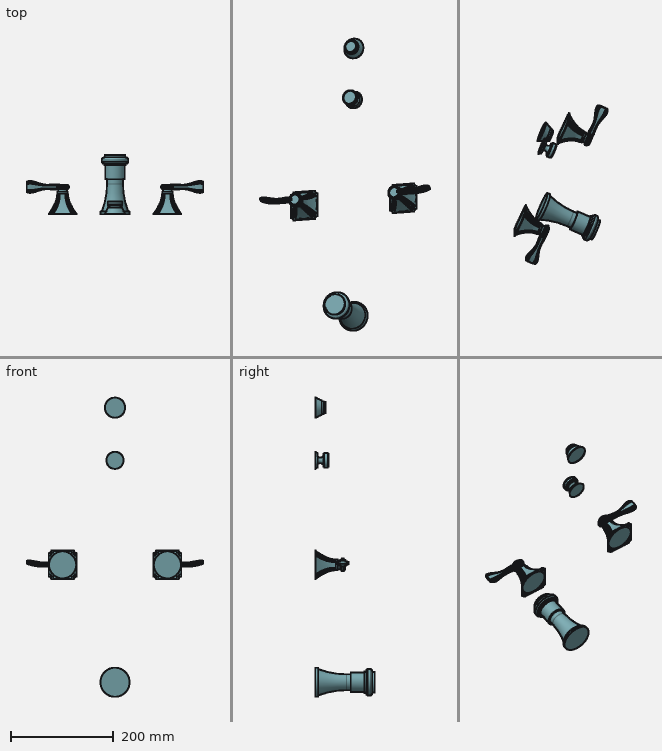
import cadquery as cq
import math


handle_offset_x = 102.0
handle_z = 228.0
knob_z = 431.0
stopper_z = 533.5

spray_height = 116.0
foot_radius = 28.5
foot_height = 6.5
foot_round = 2.5
flare_foot_radius = 25.5
stem_radius = 15.5
flare_height = 60.0
stem_height = 68.5
barrel_radius = 19.0
barrel_height = 95.5
collar_radius = 21.0
collar_height = 99.0
bead_edge_radius = 24.0
bead_radius = 26.0
bead_crown_round = 6.0
bead_band_start = 102.5
bead_band_end = 106.5
bead_height = 111.0
cap_radius = 20.5

stopper_base_radius = 20.0
stopper_rim_height = 1.0
stopper_flare_top_radius = 14.0
stopper_flare_height = 13.0
stopper_collar_radius = 13.0
stopper_collar_height = 17.0
stopper_cap_radius = 11.0
stopper_height = 20.5

knob_base_radius = 17.0
knob_rim_radius = 14.0
knob_rim_height = 4.5
knob_waist_foot_radius = 7.5
knob_waist_radius = 6.0
knob_waist_height = 11.0
knob_throat_radius = 9.5
knob_throat_height = 15.5
knob_head_face_radius = 13.0
knob_head_radius = 14.5
knob_head_step = 2.0
knob_height = 26.0

plate_width = 54.5
plate_depth = 56.5
plate_thickness = 1.0
plate_notch = 5.0
socket_radius = 26.0
socket_depth = 0.5
flare_base_half = 27.0
flare_top_half = 10.5
flare_top = 40.0
flare_power = 1.8
flare_sections = 6
corner_base_inset = 9.0
corner_top_inset = 5.0
ledge_share = 0.4
scoop_share = 0.7

neck_embed = 1.0
neck_collar_radius = 10.5
neck_collar_height = 44.0
neck_radius = 9.0
hub_bottom = 49.0
hub_top = 58.0
hub_face_radius = 10.0
hub_step = 1.45
hub_discs = 3

lever_height = (hub_bottom + hub_top) / 2
lever_panel_ratio = 0.5
lever_ledge_ratio = (1 + lever_panel_ratio) / 2
lever_sections = [
    (6.0, 4.5, 0.5, 4.5),
    (26.0, 4.5, 0.5, 4.5),
    (46.5, 7.5, 1.0, 4.5),
    (65.0, 11.5, 4.5, 4.0),
    (70.0, 10.0, 5.0, 3.0),
]


def turn(outline):
    """Revolve a closed half outline (radius along X, height along Y) about the Y axis."""
    return outline.close().revolve(360, (0, 0, 0), (0, 1, 0))


def tangent_flare_mid(foot_r, foot_y, top_r, top_y):
    """Mid-height point of an arc that leaves the top end parallel to the axis."""
    spread = foot_r - top_r
    rise = top_y - foot_y
    radius = (spread**2 + rise**2) / (2 * spread)
    mid_r = top_r + radius - math.sqrt(radius**2 - (rise / 2) ** 2)
    return mid_r, (foot_y + top_y) / 2


def make_spray():
    flare_mid = tangent_flare_mid(flare_foot_radius, foot_height, stem_radius, flare_height)
    outline = (
        cq.Workplane("XY")
        .lineTo(foot_radius, 0)
        .lineTo(foot_radius, foot_height - foot_round)
        .radiusArc((foot_radius - foot_round, foot_height), -foot_round)
        .lineTo(flare_foot_radius, foot_height)
        .threePointArc(flare_mid, (stem_radius, flare_height))
        .lineTo(stem_radius, stem_height)
        .lineTo(barrel_radius, stem_height)
        .lineTo(barrel_radius, barrel_height)
        .lineTo(collar_radius, barrel_height)
        .lineTo(collar_radius, collar_height)
        .lineTo(bead_edge_radius, collar_height)
        .lineTo(bead_radius, bead_band_start)
        .lineTo(bead_radius, bead_band_end)
        .radiusArc((cap_radius, bead_height), -bead_crown_round)
        .lineTo(cap_radius, spray_height)
        .lineTo(0, spray_height)
    )
    return turn(outline)


def make_stopper():
    outline = (
        cq.Workplane("XY")
        .lineTo(stopper_base_radius, 0)
        .lineTo(stopper_base_radius, stopper_rim_height)
        .lineTo(stopper_flare_top_radius, stopper_flare_height)
        .lineTo(stopper_collar_radius, stopper_flare_height)
        .lineTo(stopper_collar_radius, stopper_collar_height)
        .lineTo(stopper_cap_radius, stopper_collar_height)
        .lineTo(stopper_cap_radius, stopper_height)
        .lineTo(0, stopper_height)
    )
    return turn(outline).translate((0, 0, stopper_z))


def make_knob():
    outline = (
        cq.Workplane("XY")
        .lineTo(knob_base_radius, 0)
        .lineTo(knob_rim_radius, knob_rim_height)
        .lineTo(knob_waist_foot_radius, knob_rim_height)
        .threePointArc((knob_waist_radius, knob_waist_height), (knob_throat_radius, knob_throat_height))
        .lineTo(knob_head_face_radius, knob_throat_height)
        .lineTo(knob_head_face_radius, knob_throat_height + knob_head_step)
        .lineTo(knob_head_radius, knob_throat_height + knob_head_step)
        .lineTo(knob_head_radius, knob_height - knob_head_step)
        .lineTo(knob_head_face_radius, knob_height - knob_head_step)
        .lineTo(knob_head_face_radius, knob_height)
        .lineTo(0, knob_height)
    )
    return turn(outline).translate((0, 0, knob_z))


def scooped_rectangle(half_x, half_z, notch):
    """Plate outline: a rectangle whose corners are scooped by arcs about the corner points."""
    reach = notch * math.sqrt(0.5)
    return (
        cq.Workplane("XZ")
        .moveTo(notch - half_x, half_z)
        .lineTo(half_x - notch, half_z)
        .threePointArc((half_x - reach, half_z - reach), (half_x, half_z - notch))
        .lineTo(half_x, notch - half_z)
        .threePointArc((half_x - reach, reach - half_z), (half_x - notch, -half_z))
        .lineTo(notch - half_x, -half_z)
        .threePointArc((reach - half_x, reach - half_z), (-half_x, notch - half_z))
        .lineTo(-half_x, half_z - notch)
        .threePointArc((reach - half_x, half_z - reach), (notch - half_x, half_z))
        .close()
    )


def stepped_square(height, half, inset):
    """Flare section: a square whose corners step inward by a ledge and end in a small scoop."""
    panel = half - inset
    ledge = half - ledge_share * inset
    scoop = half - scoop_share * inset
    scoop_middle = ledge - (ledge - scoop) * math.sqrt(0.5)
    outline = cq.Workplane("XZ", origin=(0, height, 0)).moveTo(-panel, half)
    for cosine, sine in ((1, 0), (0, 1), (-1, 0), (0, -1)):

        def turned(x, z):
            return x * cosine + z * sine, z * cosine - x * sine

        outline = (
            outline.lineTo(*turned(panel, half))
            .lineTo(*turned(panel, ledge))
            .lineTo(*turned(scoop, ledge))
            .threePointArc(turned(scoop_middle, scoop_middle), turned(ledge, scoop))
            .lineTo(*turned(ledge, panel))
            .lineTo(*turned(half, panel))
        )
    return outline.close().wire().val()


def make_escutcheon():
    plate = scooped_rectangle(plate_width / 2, plate_depth / 2, plate_notch).extrude(-plate_thickness)
    wires = []
    for index in range(flare_sections):
        fraction = index / (flare_sections - 1)
        half = flare_top_half + (flare_base_half - flare_top_half) * (1 - fraction) ** flare_power
        inset = corner_base_inset + (corner_top_inset - corner_base_inset) * fraction
        height = plate_thickness + (flare_top - plate_thickness) * fraction
        wires.append(stepped_square(height, half, inset))
    flare = cq.Workplane(cq.Solid.makeLoft(wires))
    socket = cq.Workplane("XZ").circle(socket_radius).extrude(-socket_depth)
    return plate.union(flare).cut(socket)


def make_hub():
    """Neck with its collar, and the hub above it, turned about the handle axis."""
    rim_rise = (hub_top - hub_bottom) / (2 * hub_discs)
    root = flare_top - neck_embed
    outline = (
        cq.Workplane("XY")
        .moveTo(0, root)
        .lineTo(neck_collar_radius, root)
        .lineTo(neck_collar_radius, neck_collar_height)
        .lineTo(neck_radius, neck_collar_height)
        .lineTo(neck_radius, hub_bottom)
        .lineTo(0, hub_bottom)
    )
    handle_post = turn(outline)
    for step in range(hub_discs):
        disc = (
            cq.Workplane("XZ", origin=(0, hub_bottom + step * rim_rise, 0))
            .circle(hub_face_radius + step * hub_step)
            .extrude(-(hub_top - hub_bottom - 2 * step * rim_rise))
        )
        handle_post = handle_post.union(disc)
    return handle_post


def lever_section(distance, half_width, rise, half_thickness):
    """Section across the lever: a flat panel above and below, stepping down to each side edge."""
    panel = lever_panel_ratio * half_width
    ledge = lever_ledge_ratio * half_width
    lower_step = half_thickness / 3
    upper_step = 2 * lower_step
    corner = [
        (half_width, lower_step),
        (ledge, lower_step),
        (ledge, upper_step),
        (panel, upper_step),
        (panel, half_thickness),
    ]
    upper_half = corner + [(-y, z) for y, z in reversed(corner)]
    lower_half = [(-y, -z) for y, z in upper_half]
    plane = cq.Workplane("YZ", origin=(distance, lever_height, rise))
    return plane.polyline(upper_half + lower_half).close().wire().val()


def make_lever():
    """Lever running outward along +X from inside the hub."""
    return cq.Workplane(cq.Solid.makeLoft([lever_section(*section) for section in lever_sections]))


def make_handle(side):
    """Handle whose lever points away from the centre line; side is +1 or -1 along X."""
    handle = make_escutcheon().union(make_hub()).union(make_lever())
    if side < 0:
        handle = handle.mirror("YZ")
    return handle.translate((side * handle_offset_x, 0, handle_z))


spray = make_spray()
stopper = make_stopper()
knob = make_knob()
handles = [make_handle(side) for side in (-1, 1)]

result = cq.Compound.makeCompound(
    [spray.val(), stopper.val(), knob.val(), *[handle.val() for handle in handles]]
)